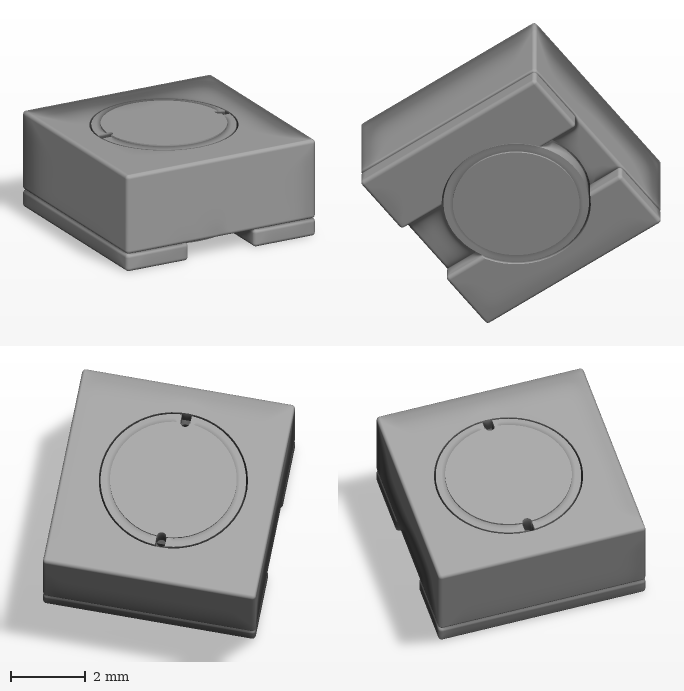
import cadquery as cq


side = 5.8
height = 2.8
edge_radius = 0.1

core_x = -0.1
core_y = -0.1
flange_diameter = 3.9
boss_diameter = 3.4
boss_height = 0.05
flange_thickness = 0.45

notch_width = 0.27
notch_depth = 0.35
wire_hole_diameter = 0.25

bore_diameter = 4.0
pad_height = 0.5
pad_gap = 2.0
shield_top = height - boss_height
pad_width = (side - pad_gap) / 2


def rounded_block(length_y, center_y, bottom, top):
    """Block spanning the full X side, with every edge rounded."""
    return (
        cq.Workplane("XY")
        .box(side, length_y, top - bottom, centered=(True, True, False))
        .edges()
        .fillet(edge_radius)
        .translate((0, center_y, bottom))
    )


def cylinder(diameter, bottom, top, center_y=core_y):
    """Upright cylinder, by default on the core axis."""
    return (
        cq.Workplane("XY", origin=(core_x, center_y, bottom))
        .circle(diameter / 2)
        .extrude(top - bottom)
    )


bore = cylinder(bore_diameter, 0, height)


def make_shield():
    return rounded_block(side, 0, pad_height, shield_top).cut(bore)


def make_pad(direction):
    """Base pad along one Y side, hollowed to clear the core."""
    center_y = direction * (pad_gap + pad_width) / 2
    return rounded_block(pad_width, center_y, 0, pad_height).cut(bore)


def make_wire_notch(direction):
    """Open slot in the flange rim, ending in a hole through the flange."""
    hole_y = core_y + direction * boss_diameter / 2
    rim_y = core_y + direction * bore_diameter / 2
    hole = cylinder(wire_hole_diameter, shield_top - flange_thickness, height, hole_y)
    slot = (
        cq.Workplane("XY", origin=(core_x, (hole_y + rim_y) / 2, shield_top - notch_depth))
        .rect(notch_width, abs(rim_y - hole_y))
        .extrude(height - shield_top + notch_depth)
    )
    return hole.union(slot)


def make_core():
    """Shaft whose ends stand proud as bosses, with a flange near each end."""
    core = cylinder(boss_diameter, 0, height)
    for bottom in (boss_height, shield_top - flange_thickness):
        core = core.union(cylinder(flange_diameter, bottom, bottom + flange_thickness))
    for direction in (-1, 1):
        core = core.cut(make_wire_notch(direction))
    return core


shield = make_shield()
core = make_core()
pads = [make_pad(direction) for direction in (-1, 1)]

result = cq.Compound.makeCompound([shield.val(), core.val(), *[pad.val() for pad in pads]])